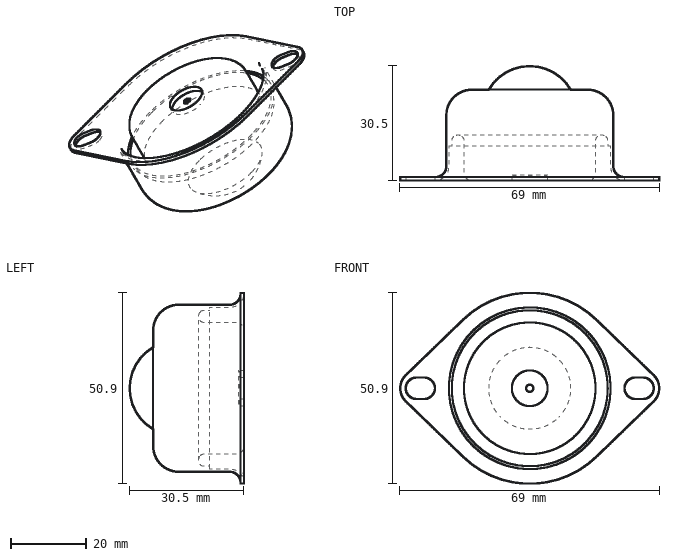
import cadquery as cq
import math


length = 69.0
flange_radius = 25.45
flange_thickness = 1.0
ear_radius = 4.8
slot_offset = 29.1
slot_length = 7.7
slot_width = 5.65

housing_radius = 22.3
housing_height = 24.2
shoulder_radius = 6.9
wall = 0.75
root_radius = 2.75
mouth_radius = root_radius + flange_thickness
bore_radius = housing_radius - wall

total_height = 30.5
ball_radius = 12.6

ledge_depth = 9.2
ledge_inner_radius = 20.8
groove_depth = 12.1
groove_fillet = 1.45
cup_radius = 17.5
cup_edge_radius = 2.1
cup_flare = 1.45

recess_radius = 4.75
recess_rim_depth = 1.45
recess_centre_depth = 0.75
hole_radius = 1.0
hole_depth = 1.25


def arc_middle(center_x, center_y, radius, degrees):
    angle = math.radians(degrees)
    return center_x + radius * math.cos(angle), center_y + radius * math.sin(angle)


def revolve_about_y(profile):
    return profile.close().revolve(360, (0, 0, 0), (0, 1, 0))


def make_flange():
    """Round plate joined by tangent edges to a rounded ear at each end."""
    ear_offset = length / 2 - ear_radius
    tangent_cos = (flange_radius - ear_radius) / ear_offset
    tangent_sin = math.sqrt(1 - tangent_cos**2)
    ear_x = ear_offset + ear_radius * tangent_cos
    ear_z = ear_radius * tangent_sin
    disc_x = flange_radius * tangent_cos
    disc_z = flange_radius * tangent_sin
    plate = (
        cq.Workplane("XZ")
        .moveTo(disc_x, disc_z)
        .threePointArc((0, flange_radius), (-disc_x, disc_z))
        .lineTo(-ear_x, ear_z)
        .threePointArc((-length / 2, 0), (-ear_x, -ear_z))
        .lineTo(-disc_x, -disc_z)
        .threePointArc((0, -flange_radius), (disc_x, -disc_z))
        .lineTo(ear_x, -ear_z)
        .threePointArc((length / 2, 0), (ear_x, ear_z))
        .close()
        .extrude(-flange_thickness)
    )
    slots = (
        cq.Workplane("XZ")
        .pushPoints([(-slot_offset, 0), (slot_offset, 0)])
        .slot2D(slot_length, slot_width)
        .extrude(-flange_thickness)
    )
    return plate.cut(slots)


def make_housing():
    """Solid of revolution with a flared root and a rounded shoulder."""
    root_x = housing_radius + root_radius
    root_y = flange_thickness + root_radius
    shoulder_x = housing_radius - shoulder_radius
    shoulder_y = housing_height - shoulder_radius
    profile = (
        cq.Workplane("XY")
        .lineTo(root_x, 0)
        .lineTo(root_x, flange_thickness)
        .threePointArc(arc_middle(root_x, root_y, root_radius, 225), (housing_radius, root_y))
        .lineTo(housing_radius, shoulder_y)
        .threePointArc(
            arc_middle(shoulder_x, shoulder_y, shoulder_radius, 45), (shoulder_x, housing_height)
        )
        .lineTo(0, housing_height)
    )
    return revolve_about_y(profile)


def make_groove():
    """Ring-shaped space around the cup, stepped on the housing side."""
    cup_face_radius = cup_radius - cup_edge_radius
    mouth_x = bore_radius + mouth_radius
    floor_outer = ledge_inner_radius - groove_fillet
    fillet_y = groove_depth - groove_fillet
    flare_x = cup_radius + cup_flare
    flare_y = groove_depth - cup_flare
    profile = (
        cq.Workplane("XY")
        .moveTo(cup_face_radius, 0)
        .lineTo(mouth_x, 0)
        .threePointArc(
            arc_middle(mouth_x, mouth_radius, mouth_radius, 225), (bore_radius, mouth_radius)
        )
        .lineTo(bore_radius, ledge_depth)
        .lineTo(ledge_inner_radius, ledge_depth)
        .lineTo(ledge_inner_radius, fillet_y)
        .threePointArc(
            arc_middle(floor_outer, fillet_y, groove_fillet, 45), (floor_outer, groove_depth)
        )
        .lineTo(flare_x, groove_depth)
        .threePointArc(arc_middle(flare_x, flare_y, cup_flare, 135), (cup_radius, flare_y))
        .lineTo(cup_radius, cup_edge_radius)
        .threePointArc(
            arc_middle(cup_face_radius, cup_edge_radius, cup_edge_radius, -45),
            (cup_face_radius, 0),
        )
    )
    return revolve_about_y(profile)


def make_recess():
    """Recess and blind hole; the floor rises from its rim to the hole."""
    profile = (
        cq.Workplane("XY")
        .lineTo(recess_radius, 0)
        .lineTo(recess_radius, recess_rim_depth)
        .lineTo(hole_radius, recess_centre_depth)
        .lineTo(hole_radius, hole_depth)
        .lineTo(0, hole_depth)
    )
    return revolve_about_y(profile)


ball = cq.Workplane("XY").sphere(ball_radius).translate((0, total_height - ball_radius, 0))

result = make_flange().union(make_housing()).union(ball).cut(make_groove()).cut(make_recess())